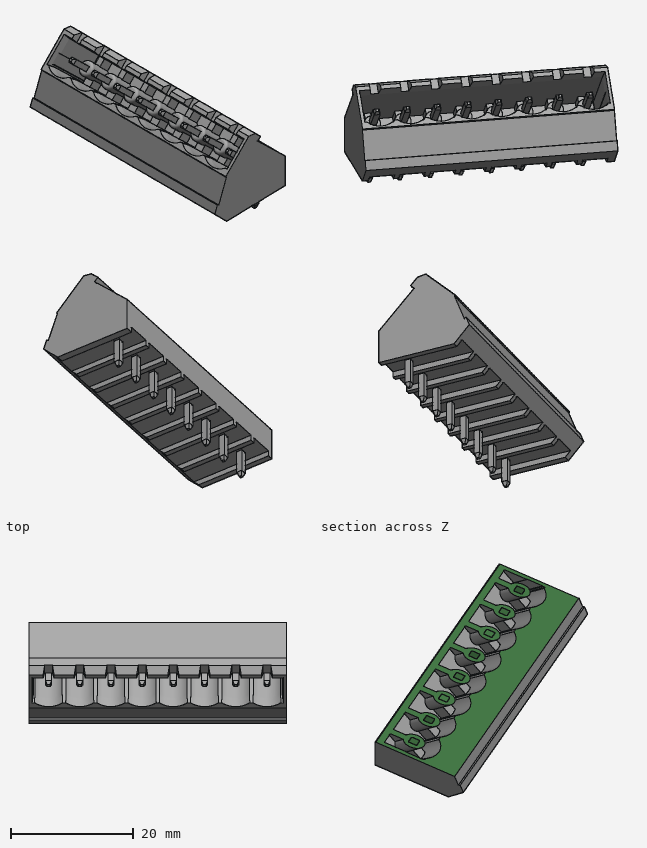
import cadquery as cq
import math


housing_length = 42.05
pin_count = 8
pitch = 5.083
pin_xs = [(i - (pin_count - 1) / 2) * pitch for i in range(pin_count)]

pin_width = 1.0
pin_tip_width = 0.45
leg_tip_length = 0.8
prong_tip_length = 0.67
leg_bottom = -4.05
bend_height = 4.45
bend_angle = 45
prong_length = 9.05

mouth_distance = 10.43
socket_depth = 11.48
socket_top = 3.1
socket_bottom = -2.55
end_wall = 0.55
lead_in_depth = 1.72
lead_in_inset = 0.2
scallop_radius = 3.45

notch_depth = 1.35
notch_floor_width = 1.25
notch_mouth_width = 1.8

slope_offset = 3.83
lip_thickness = 0.92
lip_bevel_depth = 1.2
lip_end_depth = 3.03

collar_diameter = 2.75
collar_top_depth = 6.25
collar_rounding = 0.45
upper_rib_thickness = 1.1
lower_rib_thickness = 1.55
rib_height = 2.52

housing_depth = 16.5
rear_y = 3.9
front_y = rear_y - housing_depth
nose_height = 2.9
foot_front_y = -9.8
brow_y = -10.0
panel_top = (-9.9, 8.95)
panel_bottom = (-11.65, 4.3)
ledge_edge = (-12.0, 4.45)

channel_width = 4.2
channel_height = 1.0
channel_shift = -0.13

tilt = math.sin(math.radians(bend_angle))
along_row = (1, 0, 0)
outward = (0, -tilt, tilt)
upward = (0, tilt, tilt)
mouth_y = -mouth_distance * tilt
mouth_z = bend_height + mouth_distance * tilt
mouth_plane = cq.Plane(origin=(0, mouth_y, mouth_z), xDir=along_row, normal=outward)
across_plane = cq.Plane(origin=(0, mouth_y, mouth_z), xDir=along_row, normal=upward)

lower_depth = socket_depth - lead_in_depth
lead_in_angle = math.degrees(math.atan(lead_in_inset / lead_in_depth))
socket_middle = (socket_top + socket_bottom) / 2


def tilted_point(depth, offset):
    """(Y, Z) of a point at a depth below the mouth face and an offset from the pin axis."""
    return (mouth_y + (depth + offset) * tilt, mouth_z + (offset - depth) * tilt)


def plane_at_depth(depth):
    """Workplane parallel to the mouth face, with its Y axis pointing up across the socket."""
    return cq.Workplane(mouth_plane).workplane(offset=-depth)


def make_body():
    lip_offset = slope_offset + lip_thickness
    outline = [
        (rear_y, 0),
        (rear_y, bend_height + slope_offset / tilt - rear_y),
        tilted_point(lip_end_depth, slope_offset),
        tilted_point(lip_end_depth, lip_offset),
        tilted_point(lip_bevel_depth, lip_offset),
        tilted_point(0, slope_offset),
        (brow_y, bend_height + mouth_distance / tilt + brow_y),
        panel_top,
        panel_bottom,
        ledge_edge,
        (front_y, nose_height),
        (foot_front_y, 0),
    ]
    return cq.Workplane("YZ").polyline(outline).close().extrude(housing_length / 2, both=True)


def make_scallop(x):
    """Round bore about one pin with a flared mouth, kept below the pin axis only."""
    mouth = plane_at_depth(0).center(x, 0).circle(scallop_radius)
    bore = plane_at_depth(lead_in_depth).center(x, 0).circle(scallop_radius - lead_in_inset)
    lower_half = (
        plane_at_depth(0)
        .center(x, -scallop_radius / 2)
        .rect(pitch, scallop_radius)
        .extrude(-socket_depth)
    )
    scallop = mouth.extrude(-lead_in_depth, taper=lead_in_angle)
    return scallop.union(bore.extrude(-lower_depth)).intersect(lower_half)


def make_socket():
    length = housing_length - 2 * end_wall
    height = socket_top - socket_bottom
    mouth = plane_at_depth(0).center(0, socket_middle).rect(length, height)
    box = (
        plane_at_depth(lead_in_depth)
        .center(0, socket_middle)
        .rect(length - 2 * lead_in_inset, height - 2 * lead_in_inset)
    )
    socket = mouth.extrude(-lead_in_depth, taper=lead_in_angle).union(box.extrude(-lower_depth))
    for x in pin_xs:
        socket = socket.union(make_scallop(x))
    return socket


def make_notch(x):
    """Notch through the upper wall and lip, narrowing towards its floor."""
    return (
        cq.Workplane(across_plane)
        .center(x, 0)
        .polyline([
            (-notch_mouth_width / 2, 0),
            (notch_mouth_width / 2, 0),
            (notch_floor_width / 2, notch_depth),
            (-notch_floor_width / 2, notch_depth),
        ])
        .close()
        .extrude(slope_offset + lip_thickness)
    )


def make_collar(x):
    height = socket_depth - collar_top_depth
    post = plane_at_depth(socket_depth).center(x, 0).circle(collar_diameter / 2).extrude(height)
    top = cq.selectors.DirectionMinMaxSelector(cq.Vector(*outward))
    return post.faces(top).edges().fillet(collar_rounding)


def make_rib_half(x, thickness, reach):
    """Half of a rib, running from the pin axis up (or down, for a negative reach) into the wall."""
    base = plane_at_depth(socket_depth).center(x, reach / 2).rect(thickness, abs(reach))
    return base.extrude(rib_height)


def make_rib(x):
    """Rib crossing the collar of one pin, thicker below the pin axis than above it."""
    upper = make_rib_half(x, upper_rib_thickness, socket_top)
    lower = make_rib_half(x, lower_rib_thickness, lead_in_inset - scallop_radius)
    return upper.union(lower)


def make_channel(x):
    base = cq.Workplane("XY").center(x + channel_shift, 0).rect(channel_width, 2 * housing_depth)
    return base.extrude(channel_height)


def make_tip(base, length):
    """Tapered point on the square end of a pin; a negative length points downwards."""
    slant = math.degrees(math.atan((pin_width - pin_tip_width) / 2 / abs(length)))
    return base.rect(pin_width, pin_width).extrude(length, taper=slant)


def make_pin(x):
    half = pin_width / 2
    mitre = half * math.tan(math.radians(bend_angle / 2))
    leg_end = leg_bottom + leg_tip_length
    prong_end = mouth_distance - prong_length + prong_tip_length
    outline = [
        (-half, leg_end),
        (half, leg_end),
        (half, bend_height + mitre),
        tilted_point(prong_end, half),
        tilted_point(prong_end, -half),
        (-half, bend_height - mitre),
    ]
    shaft = cq.Workplane("YZ", origin=(x, 0, 0)).polyline(outline).close().extrude(half, both=True)
    leg_tip = make_tip(cq.Workplane("XY", origin=(x, 0, leg_end)), -leg_tip_length)
    prong_tip = make_tip(plane_at_depth(prong_end).center(x, 0), prong_tip_length)
    return shaft.union(leg_tip).union(prong_tip)


def make_housing(pins):
    housing = make_body().cut(make_socket())
    for x in pin_xs:
        housing = housing.union(make_rib(x)).union(make_collar(x))
        housing = housing.cut(make_notch(x)).cut(make_channel(x))
    for pin in pins:
        housing = housing.cut(pin)
    return housing


pins = [make_pin(x) for x in pin_xs]
housing = make_housing(pins)

result = cq.Compound.makeCompound([housing.val(), *[pin.val() for pin in pins]])